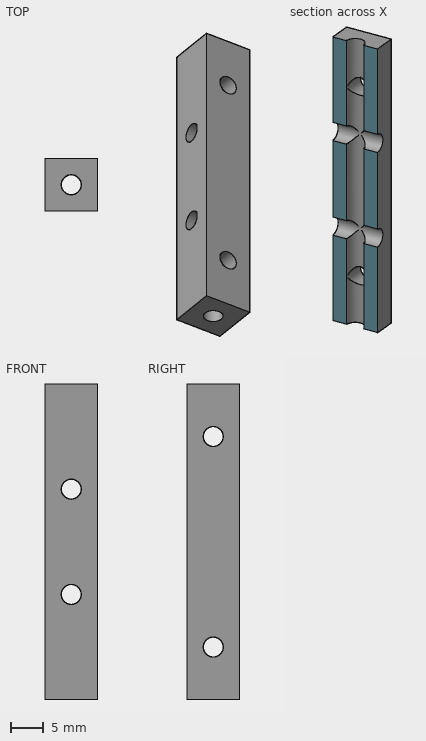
import cadquery as cq

side = 8.0
length = 48.0

hole_diameter = 3.0

y_hole_offset = length / 6
x_hole_offset = length / 3


def drill_pair(body, face, offset):
    """Drill two through holes into a side face, at equal heights above and below the middle."""
    return (
        body.faces(face)
        .workplane(origin=(0, 0, 0))
        .pushPoints([(0, -offset), (0, offset)])
        .hole(hole_diameter)
    )


bar = cq.Workplane("XY").box(side, side, length)

bar = bar.faces(">Z").workplane().hole(hole_diameter)

bar = drill_pair(bar, "<Y", y_hole_offset)
bar = drill_pair(bar, "<X", x_hole_offset)

result = bar